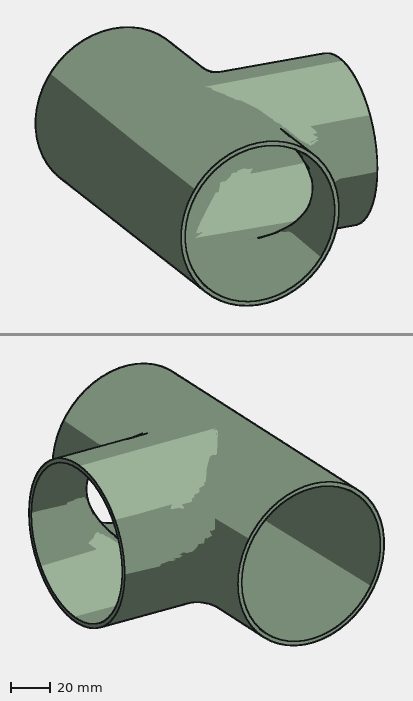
import cadquery as cq
import math

run_length = 172.0
branch_reach = 86.0
outer_diameter = 89.0
inner_diameter = 84.3
corner_blend_radius = 20.0
blend_sections = 9
quarter_turn = 90.0

outer_radius = outer_diameter / 2
inner_radius = inner_diameter / 2
blend_centre = outer_radius + corner_blend_radius

shapes = cq.occ_impl.shapes
origin = cq.Vector(0, 0, 0)


def blend_half_ellipse(radius, turn):
    """Half ellipse from pole to pole that crosses the blend arc `turn` degrees along it."""
    arc_radius = blend_centre - radius
    x = blend_centre - arc_radius * math.sin(math.radians(turn))
    y = blend_centre - arc_radius * math.cos(math.radians(turn))
    plane_normal = cq.Vector(y, -x, 0)
    reach_direction = cq.Vector(x, y, 0)
    half_width = math.hypot(x, y)
    return cq.Edge.makeEllipse(
        half_width, radius, origin, plane_normal, reach_direction, -quarter_turn, quarter_turn
    )


def corner_blend(radius):
    """Wedge filling the +X corner; its blend fades to nothing at the top and bottom poles."""
    turns = [quarter_turn * i / (blend_sections - 1) for i in range(blend_sections)]
    arcs = [blend_half_ellipse(radius, turn) for turn in turns]
    blend_face = shapes.loft(*[cq.Wire.assembleEdges([arc]) for arc in arcs])

    pole_line = cq.Edge.makeLine(cq.Vector(0, 0, -radius), cq.Vector(0, 0, radius))
    side_faces = [
        cq.Face.makeFromWires(cq.Wire.assembleEdges([arc, pole_line])) for arc in (arcs[0], arcs[-1])
    ]
    return shapes.solid(blend_face, *side_faces)


def tee_body(radius):
    """Solid tee of one radius, with a blended corner on each side of the branch."""
    run = cq.Workplane("YZ").circle(radius).extrude(run_length / 2, both=True)
    branch = cq.Workplane("XZ").circle(radius).extrude(-branch_reach)
    right_blend = corner_blend(radius)
    left_blend = right_blend.mirror("YZ")
    return run.union(branch).union(cq.Workplane(right_blend)).union(cq.Workplane(left_blend))


result = tee_body(outer_radius).cut(tee_body(inner_radius)).solids()